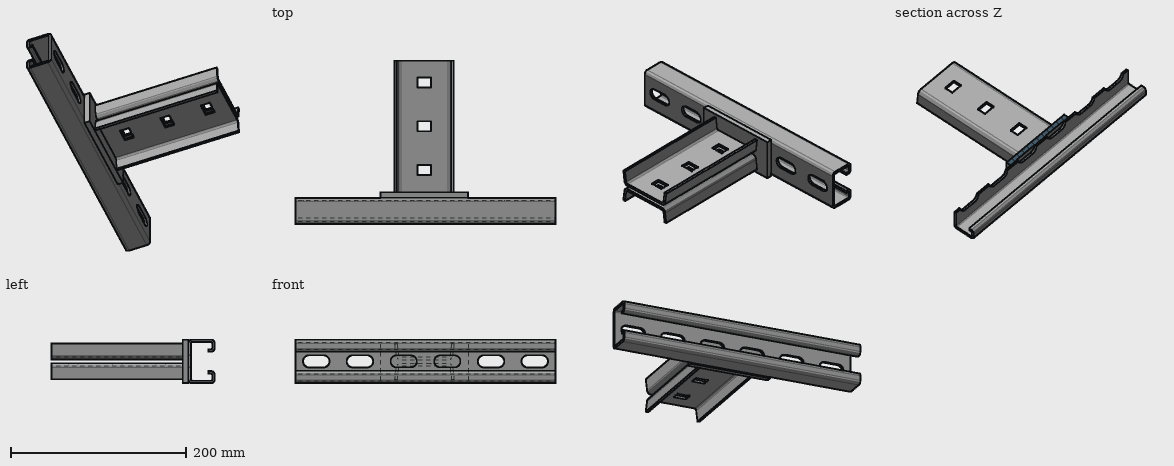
import cadquery as cq
import math


rail_length = 297.0
rail_depth = 30.0
rail_height = 50.0
rail_wall = 3.0
rail_bend = 4.2
lip_face = 14.0
lip_return = 7.0

slot_count = 6
slot_pitch = 50.0
slot_length = 30.0
slot_width = 13.7

plate_width = 100.0
plate_thickness = 6.5
plate_x = -1.5

arm_length = 150.0
arm_width = 68.0
arm_height = 18.0
arm_gap = 4.2
arm_wall = 3.0
arm_bend = 5.3
flare_angle = 7.0

hole_count = 3
hole_pitch = 50.0
hole_width = 15.0
hole_length = 11.0
hole_end_distance = 25.0

rail_back_y = rail_depth / 2
plate_back_y = rail_back_y + plate_thickness
arm_end_y = plate_back_y + arm_length


def bent_sheet_section(plane, corners, wall, bend):
    """Closed section of a folded sheet.

    The corners follow the outer face, with the sheet on their left and every
    fold turning left. The folds have the outer radius `bend`, and the inner
    face is concentric with the outer one.
    """
    points = [cq.Vector(*corner) for corner in corners]
    directions = [(end - start).normalized() for start, end in zip(points, points[1:])]
    normals = [cq.Vector(-along.y, along.x) for along in directions]

    def fold_arcs(radius):
        """Start, middle and end of the arc at each fold, in order along the sheet."""
        arcs = []
        for corner, before, after in zip(points[1:-1], normals, normals[1:]):
            both = before + after
            center = corner + both * (bend / (1 + before.dot(after)))
            arcs.append([center - side * radius for side in (before, both.normalized(), after)])
        return arcs

    section = cq.Workplane(plane).moveTo(*points[0].toTuple()[:2])
    for start, middle, end in fold_arcs(bend):
        section = section.lineTo(start.x, start.y)
        section = section.threePointArc((middle.x, middle.y), (end.x, end.y))
    section = section.lineTo(points[-1].x, points[-1].y)

    inner_end = points[-1] + normals[-1] * wall
    inner_start = points[0] + normals[0] * wall
    section = section.lineTo(inner_end.x, inner_end.y)
    for start, middle, end in reversed(fold_arcs(bend - wall)):
        section = section.lineTo(end.x, end.y)
        section = section.threePointArc((middle.x, middle.y), (start.x, start.y))
    return section.lineTo(inner_start.x, inner_start.y).close()


def make_rail():
    """Lipped C-shaped strut with a row of round-ended slots in its back."""
    half_depth = rail_depth / 2
    half_height = rail_height / 2
    lip_edge = half_height - lip_face
    lip_end_y = -half_depth + lip_return
    plane = cq.Plane(origin=(-rail_length / 2, 0, 0), xDir=(0, 1, 0), normal=(1, 0, 0))
    corners = [
        (lip_end_y, -lip_edge),
        (-half_depth, -lip_edge),
        (-half_depth, -half_height),
        (half_depth, -half_height),
        (half_depth, half_height),
        (-half_depth, half_height),
        (-half_depth, lip_edge),
        (lip_end_y, lip_edge),
    ]
    rail = bent_sheet_section(plane, corners, rail_wall, rail_bend).extrude(rail_length)

    slots = (
        cq.Workplane("XZ", origin=(0, rail_back_y, 0))
        .rarray(slot_pitch, 3, slot_count, 1)
        .slot2D(slot_length, slot_width)
        .extrude(rail_wall)
    )
    return rail.cut(slots)


def make_plate():
    """Flat plate as tall as the rail."""
    center = (plate_x, rail_back_y + plate_thickness / 2, 0)
    return cq.Workplane("XY", origin=center).box(plate_width, plate_thickness, rail_height)


def make_upper_arm():
    """Channel with its web at the bottom and its flared flanges pointing up."""
    web_z = arm_gap / 2
    half_tip = arm_width / 2
    half_web = half_tip - arm_height * math.tan(math.radians(flare_angle))
    plane = cq.Plane(origin=(plate_x, arm_end_y, 0), xDir=(1, 0, 0), normal=(0, -1, 0))
    corners = [
        (-half_tip, web_z + arm_height),
        (-half_web, web_z),
        (half_web, web_z),
        (half_tip, web_z + arm_height),
    ]
    arm = bent_sheet_section(plane, corners, arm_wall, arm_bend).extrude(arm_length)

    middle_hole_y = arm_end_y - hole_end_distance - hole_pitch * (hole_count - 1) / 2
    holes = (
        cq.Workplane("XY", origin=(plate_x, middle_hole_y, web_z))
        .rarray(3, hole_pitch, 1, hole_count)
        .rect(hole_width, hole_length)
        .extrude(arm_wall)
    )
    return arm.cut(holes)


rail = make_rail()
plate = make_plate()
upper_arm = make_upper_arm()
arms = [upper_arm, upper_arm.mirror("XY")]

result = cq.Compound.makeCompound([rail.val(), plate.val(), *[arm.val() for arm in arms]])